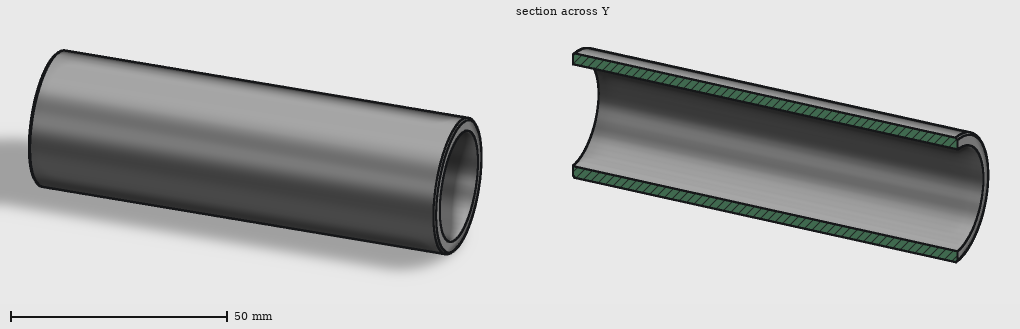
import cadquery as cq

length = 100.0
outer_diameter = 32.0
bore_diameter = 26.0
end_chamfer = 0.5


def make_cylinder(diameter):
    """Full-length cylinder along X, starting at the X = 0 plane."""
    return cq.Workplane("YZ").circle(diameter / 2).extrude(length)


def make_tube():
    """Chamfered rod with the bore cut through its whole length."""
    rod = make_cylinder(outer_diameter).faces("<X or >X").chamfer(end_chamfer)
    return rod.cut(make_cylinder(bore_diameter))


result = make_tube()